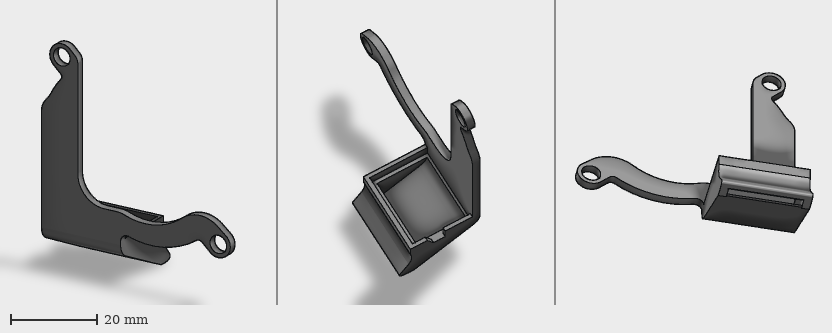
import cadquery as cq
import math

plate_thickness = 2.1
base_width = 21.75
base_top = 12.2
back_wall_y = 18.8
post_width = 9.95
hole_diameter = 4.5
ear_radius = 3.3
post_ear = (5.55, 57.95 - ear_radius)
arm_ear = (51.8 - ear_radius, 16.75)

slope_angle = math.radians(25.4)
front_corner_z = 8.7
front_radius = 3.65
lip_bottom_y = 17.7

end_wall = 1.0
ledge_z = 9.3
recess_back_y = 17.6
cavity_end = 1.9
cavity_front_y = 2.65
cavity_back_y = 16.15
floor_tip_y = 18.95
outlet_back_y = 20.6
cut_margin = 1.15

notch_front_y = 9.4
notch_floor_back_y = 12.5
notch_top_back_y = 14.2


def on_ear(center, degrees):
    """Point on the rim of an ear at the given angle from +X."""
    angle = math.radians(degrees)
    return (center[0] + ear_radius * math.cos(angle), center[1] + ear_radius * math.sin(angle))


def slope_z(y, corner_z):
    """Height at y of a plane parallel to the underside that meets y = 0 at corner_z."""
    return corner_z - y * math.tan(slope_angle)


def rounded_corner(wall_y, corner_z):
    """Start, middle and end of the arc from a vertical wall to the sloping plane."""
    center_y = wall_y + front_radius
    reach = front_radius * math.tan((math.pi / 2 - slope_angle) / 2)
    center_z = slope_z(wall_y, corner_z) + reach
    end_turn = math.pi / 2 - slope_angle

    def at(turn):
        return (center_y - front_radius * math.cos(turn), center_z - front_radius * math.sin(turn))

    return at(0), at(end_turn / 2), at(end_turn)


def along_x(x_start):
    """Workplane with local axes (Y, Z) at the given X."""
    return cq.Workplane("YZ", origin=(x_start, 0, 0))


def make_plate():
    outline = (
        cq.Workplane("XZ")
        .moveTo(0, base_top - cut_margin)
        .lineTo(0, 40.35)
        .threePointArc((0.3, 41.7), (1.1, 43.0))
        .threePointArc((1.8, 43.8), (2.45, 44.75))
        .threePointArc((3.7, 46.95), (5.3, 49.05))
        .threePointArc((5.55, 49.7), (5.35, 50.3))
        .lineTo(*on_ear(post_ear, 225))
        .threePointArc(on_ear(post_ear, 135), on_ear(post_ear, 45))
        .lineTo(8.9, 56.0)
        .threePointArc((9.7, 55.05), (post_width, 53.95))
        .lineTo(post_width, 26.4)
        .threePointArc((12.1, 21.3), (17.2, 19.2))
        .lineTo(20.6, 19.2)
        .threePointArc((21.8, 19.05), (22.95, 18.7))
        .threePointArc((30.95, 17.95), (38.65, 21.35))
        .threePointArc((43.45, 22.95), (48.1, 21.4))
        .lineTo(*on_ear(arm_ear, 45))
        .threePointArc(on_ear(arm_ear, -45), on_ear(arm_ear, 225))
        .lineTo(44.1, 16.35)
        .threePointArc((43.35, 16.7), (42.5, 16.45))
        .threePointArc((33.05, 12.85), (23.7, 13.7))
        .threePointArc((22.4, 13.35), (base_width, 11.95))
        .lineTo(base_width, base_top - cut_margin)
        .close()
    )
    plate = outline.extrude(-plate_thickness)
    holes = cq.Workplane("XZ").pushPoints([post_ear, arm_ear]).circle(hole_diameter / 2)
    return plate.cut(holes.extrude(-plate_thickness))


def make_base():
    start, middle, end = rounded_corner(0, front_corner_z)
    return (
        along_x(0)
        .moveTo(*start)
        .lineTo(0, base_top)
        .lineTo(back_wall_y, base_top)
        .lineTo(back_wall_y, 9.4)
        .threePointArc((18.45, 6.95), (19.25, 4.65))
        .lineTo(21.55, 1.75)
        .threePointArc((21.7, 1.05), (21.1, 0.5))
        .threePointArc((19.4, 0.25), (lip_bottom_y, slope_z(lip_bottom_y, front_corner_z)))
        .lineTo(*end)
        .threePointArc(middle, start)
        .close()
        .extrude(base_width)
    )


def make_floor_tip():
    """Sharp end of the thin floor, reaching slightly below the end walls."""
    underside_end_y = front_corner_z / math.tan(slope_angle)
    return (
        along_x(cavity_end)
        .moveTo(lip_bottom_y, slope_z(lip_bottom_y, front_corner_z))
        .lineTo(underside_end_y, 0)
        .lineTo(floor_tip_y, 0)
        .lineTo(lip_bottom_y, (floor_tip_y - lip_bottom_y) * math.tan(slope_angle))
        .close()
        .extrude(base_width - 2 * cavity_end)
    )


def make_recess():
    """Shallow recess inside the rim, down to the ledge."""
    return cq.Workplane("XY").box(
        base_width - 2 * end_wall, recess_back_y - plate_thickness, base_top - ledge_z, centered=False
    ).translate((end_wall, plate_thickness, ledge_z))


def make_cavity():
    """Chute that follows the floor and opens in a slit under the lip."""
    floor_corner_z = floor_tip_y * math.tan(slope_angle)
    start, middle, end = rounded_corner(cavity_front_y, floor_corner_z)
    exit_y = floor_tip_y + cut_margin / math.tan(slope_angle)
    return (
        along_x(cavity_end)
        .moveTo(*start)
        .lineTo(cavity_front_y, ledge_z + cut_margin)
        .lineTo(cavity_back_y, ledge_z + cut_margin)
        .lineTo(cavity_back_y, ledge_z)
        .threePointArc((17.05, 4.65), (outlet_back_y, 0.3))
        .lineTo(exit_y, -cut_margin)
        .lineTo(*end)
        .threePointArc(middle, start)
        .close()
        .extrude(base_width - 2 * cavity_end)
    )


def make_notch():
    return (
        along_x(0)
        .polyline([
            (notch_front_y, base_top),
            (notch_front_y, ledge_z),
            (notch_floor_back_y, ledge_z),
            (notch_top_back_y, base_top),
        ])
        .close()
        .extrude(end_wall)
    )


base = make_base().union(make_floor_tip())
base = base.cut(make_recess()).cut(make_cavity()).cut(make_notch())
result = base.union(make_plate())